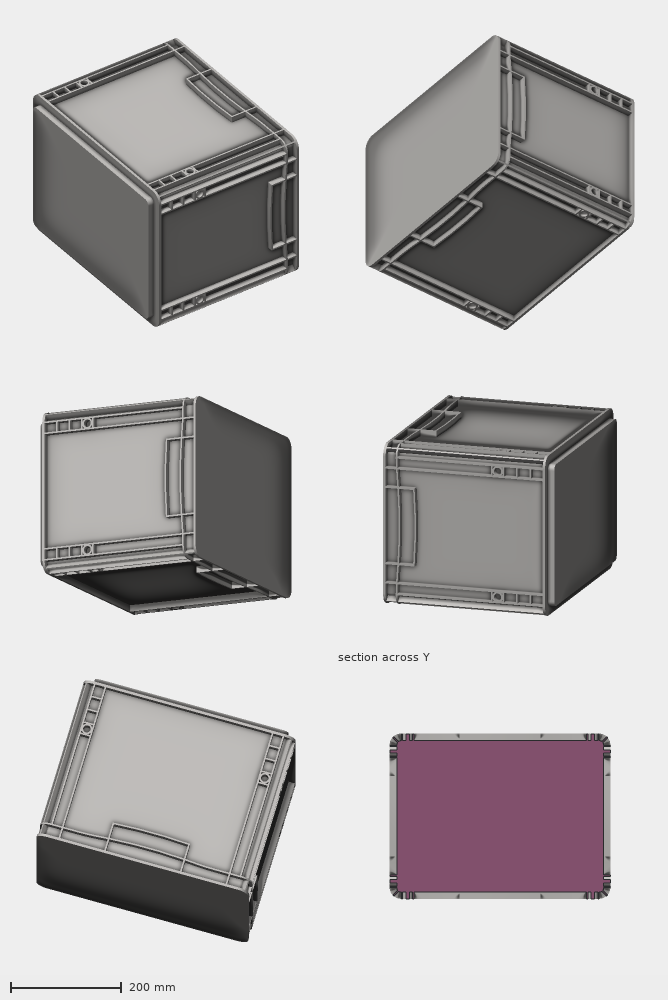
import cadquery as cq
import math


width = 399.0
depth = 299.0
total_height = 320.0
foot_height = 12.0
body_height = total_height - foot_height

corner_radius = 20.5
wall_recess = 12.0
rim_thickness = 4.8
rib_thickness = 3.0

foot_inset = 17.0
foot_radius = 10.0

outer_rib_offset = corner_radius
inner_rib_offset = 40.5

lower_cell = 22.5
lower_cell_count = 3
tube_cell = 19.0
tube_outer_diameter = 20.0
tube_hole_diameter = 13.5

upper_rib_drop = 24.0
bow_depth = 5.5
bow_middle_half = 85.8
bow_half = 130.5

handle_width = 145.5
handle_bar_drop = 30.0

root_depth = 2 * wall_recess

upper_rim_base = body_height - rim_thickness


def rounded_slab(size_x, size_z, radius, y_low, y_high):
    """Slab with rounded corners, standing along Y."""
    slab = cq.Workplane("XZ", origin=(0, y_high, 0)).rect(size_x, size_z).extrude(y_high - y_low)
    return slab.edges("|Y").fillet(radius)


def raised(sketch):
    """Raise a closed face sketch from its root to the outer face."""
    return sketch.extrude(root_depth)


def bar(x_low, x_high, y_low, y_high):
    """Straight rib on a face, given by its limits across and along the face."""
    centre = ((x_low + x_high) / 2, (y_low + y_high) / 2)
    return raised(cq.Workplane("XY").center(*centre).rect(x_high - x_low, y_high - y_low))


bow_slope_angle = 2 * math.atan(bow_depth / bow_half)
middle_radius = bow_middle_half / math.sin(bow_slope_angle)
side_radius = (bow_half - bow_middle_half) / math.sin(bow_slope_angle)


def bow_drop(x):
    """Distance of the bowed curve below its level ends."""
    if abs(x) <= bow_middle_half:
        return bow_depth - middle_radius + math.sqrt(middle_radius**2 - x**2)
    if abs(x) <= bow_half:
        return side_radius - math.sqrt(side_radius**2 - (bow_half - abs(x)) ** 2)
    return 0.0


def upper_rib(face_width):
    """Rib across the whole face, following the bow."""
    half = face_width / 2
    level = body_height - upper_rib_drop
    side_middle = (bow_half + bow_middle_half) / 2

    def point(x, y_base):
        return (x, y_base - bow_drop(x))

    def bowed_edge(sketch, y_base, direction):
        ends = [-bow_middle_half, bow_middle_half, bow_half]
        middles = [-side_middle, 0, side_middle]
        sketch = sketch.lineTo(-direction * bow_half, y_base)
        for middle, end in zip(middles, ends):
            sketch = sketch.threePointArc(point(direction * middle, y_base), point(direction * end, y_base))
        return sketch.lineTo(direction * half, y_base)

    outline = cq.Workplane("XY").moveTo(-half, level)
    outline = bowed_edge(outline, level, 1).lineTo(half, level - rib_thickness)
    return raised(bowed_edge(outline, level - rib_thickness, -1).close())


def handle_frame():
    """Two posts from the upper rim, joined by a bowed bar."""
    half = handle_width / 2
    level = body_height - upper_rib_drop - handle_bar_drop
    end_y = level - bow_drop(half)
    middle_y = level - bow_depth
    frame_base = end_y - rib_thickness
    outline = cq.Workplane("XY").moveTo(-half, end_y).threePointArc((0, middle_y), (half, end_y))
    outline = outline.lineTo(half, frame_base)
    outline = outline.threePointArc((0, middle_y - rib_thickness), (-half, frame_base))
    frame = raised(outline.close())
    for x_low in (-half, half - rib_thickness):
        frame = frame.union(bar(x_low, x_low + rib_thickness, frame_base, upper_rim_base))
    return frame


def rib_ladder(face_width):
    """Pair of vertical ribs on the right of a face, with cross ribs and a tube."""
    outer_x = face_width / 2 - outer_rib_offset
    inner_x = face_width / 2 - inner_rib_offset
    ladder = bar(inner_x - rib_thickness, inner_x, rim_thickness, upper_rim_base)
    outer_rib_top = body_height - upper_rib_drop - rib_thickness
    ladder = ladder.union(bar(outer_x - rib_thickness, outer_x, rim_thickness, outer_rib_top))

    y = rim_thickness
    for cell in [lower_cell] * lower_cell_count + [tube_cell]:
        y += cell
        ladder = ladder.union(bar(inner_x, outer_x - rib_thickness, y, y + rib_thickness))
        y += rib_thickness

    tube_x = (inner_x + outer_x - rib_thickness) / 2
    tube_y = y - rib_thickness - tube_cell / 2
    disc = raised(cq.Workplane("XY").center(tube_x, tube_y).circle(tube_outer_diameter / 2))
    hole = raised(cq.Workplane("XY").center(tube_x, tube_y).circle(tube_hole_diameter / 2))
    return ladder.union(disc).cut(hole)


def face_ribs(face_width):
    """All ribs of one face, drawn in XY and raised along +Z."""
    ladder = rib_ladder(face_width)
    ribs = ladder.union(ladder.mirror("YZ"))
    return ribs.union(upper_rib(face_width)).union(handle_frame())


def corner_fins():
    """Diagonal fin from the core to the outer round at each vertical edge."""
    length = 2 * corner_radius
    fins = cq.Workplane("XY")
    for side_x in (-1, 1):
        for side_z in (-1, 1):
            fin = cq.Workplane("XY").box(length, body_height, rib_thickness, centered=(False, False, True))
            fin = fin.rotate((0, 0, 0), (0, 1, 0), math.degrees(math.atan2(-side_z, side_x)))
            centre_x = side_x * (width / 2 - corner_radius)
            centre_z = side_z * (depth / 2 - corner_radius)
            fins = fins.union(fin.translate((centre_x, 0, centre_z)))
    return fins


ribs = corner_fins()
for turn, face_width, face_distance in (
    (0, width, depth / 2),
    (90, depth, width / 2),
    (180, width, depth / 2),
    (270, depth, width / 2),
):
    placed = face_ribs(face_width).translate((0, 0, face_distance - root_depth))
    ribs = ribs.union(placed.rotate((0, 0, 0), (0, 1, 0), turn))
ribs = ribs.intersect(rounded_slab(width, depth, corner_radius, 0, body_height))

core_radius = corner_radius - wall_recess
core = rounded_slab(width - 2 * wall_recess, depth - 2 * wall_recess, core_radius, 0, body_height)
foot = rounded_slab(width - 2 * foot_inset, depth - 2 * foot_inset, foot_radius, -foot_height, 0)
result = core.union(foot).union(ribs)
for rim_low in (0, upper_rim_base):
    result = result.union(rounded_slab(width, depth, corner_radius, rim_low, rim_low + rim_thickness))